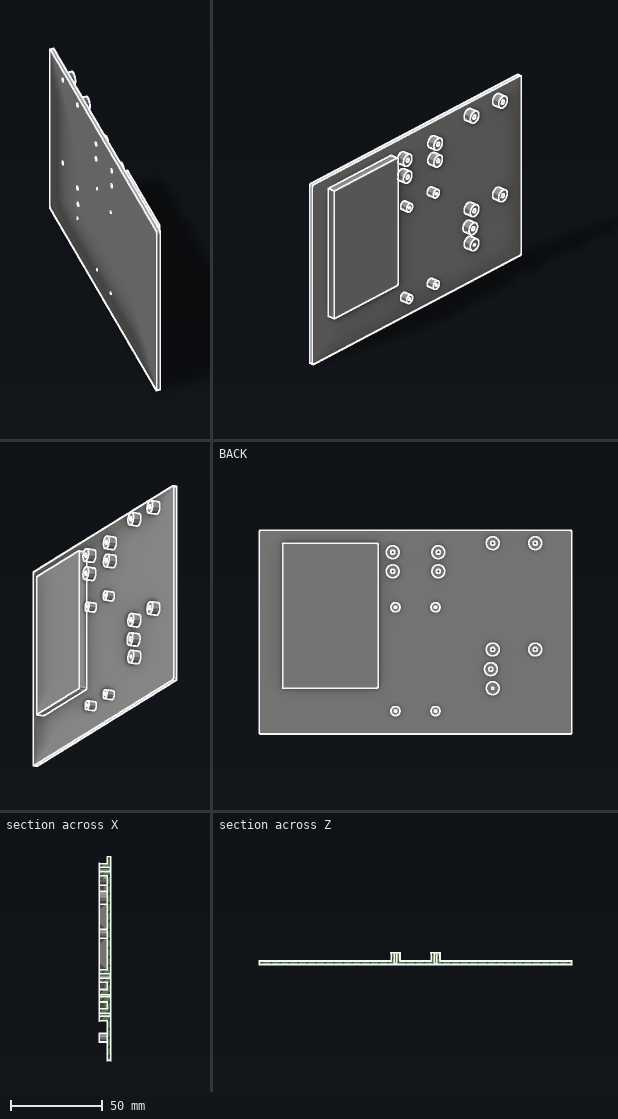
import cadquery as cq

plate_width = 170.0
plate_height = 111.0
plate_thickness = 2.0
corner_radius = 1.0

total_depth = 6.5

hole_floor = 0.4
large_boss_diameter = 7.0
small_boss_diameter = 5.0
large_hole_diameter = 2.2
small_hole_diameter = 1.2

column_a = 19.9
column_b = 43.0
column_c = 72.6
column_d = 97.4
inset_column_b = 44.0
small_column_c = 74.1
small_column_d = 95.9
row_1 = 103.9
row_2 = 99.0
row_3 = 88.5
row_4 = 46.0
row_5 = 35.4
row_6 = 25.0
small_row_upper = 69.0
small_row_lower = 12.5

large_bosses = [
    (column_a, row_1),
    (column_b, row_1),
    (column_c, row_2),
    (column_d, row_2),
    (column_c, row_3),
    (column_d, row_3),
    (column_a, row_4),
    (column_b, row_4),
    (inset_column_b, row_5),
]
fine_hole_boss = [(column_b, row_6)]
small_bosses = [
    (small_column_c, small_row_upper),
    (small_column_d, small_row_upper),
    (small_column_c, small_row_lower),
    (small_column_d, small_row_lower),
]

block_left = 105.2
block_right = 157.0
block_bottom = row_6
block_top = row_1


def upright_box(left, right, bottom, top, depth):
    """Box over an X and Z range, from the front face back to the given depth."""
    box = cq.Workplane("XY").box(right - left, depth, top - bottom, centered=False)
    return box.translate((left, 0, bottom))


def rods(centres, diameter, start, end):
    """Round rods along Y from start to end, one at each (X, Z) centre."""
    profile = cq.Workplane("XZ", origin=(0, start, 0)).pushPoints(centres).circle(diameter / 2)
    return profile.extrude(start - end)


plate = upright_box(0, plate_width, 0, plate_height, plate_thickness).edges("|Y").fillet(corner_radius)

block = upright_box(block_left, block_right, block_bottom, block_top, total_depth)
block = block.edges("|Y and <X").fillet(corner_radius)

boss_root = plate_thickness / 2

result = (
    plate.union(block)
    .union(rods(large_bosses + fine_hole_boss, large_boss_diameter, boss_root, total_depth))
    .union(rods(small_bosses, small_boss_diameter, boss_root, total_depth))
    .cut(rods(large_bosses, large_hole_diameter, hole_floor, total_depth))
    .cut(rods(fine_hole_boss + small_bosses, small_hole_diameter, hole_floor, total_depth))
)